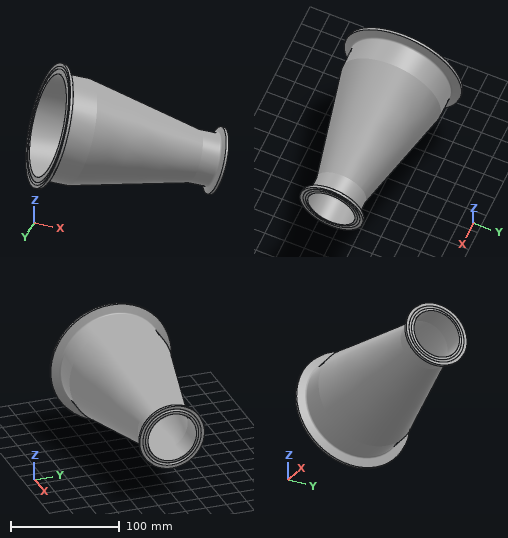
import cadquery as cq
import math

total_length = 167.0
large_wall = 2.0
large_bore = 97.6
large_pipe = large_bore + 2 * large_wall
large_flange = 119.0
small_pipe = 50.8
small_wall = 1.5
small_bore = small_pipe - 2 * small_wall
small_flange = 64.0

large_straight = 30.0
small_straight = 23.0

rim_thickness = 2.85
back_angle = 20.0
neck_fillet = 2.0
groove_inset = 4.5
groove_width = 4.1
groove_floor_width = 2.5
groove_edge_depth = 0.4
groove_depth = 1.5


def revolve_about_x(sketch):
    """Full turn of a closed half profile about the part axis."""
    return sketch.revolve(360, (0, 0, 0), (1, 0, 0))


def reducer_shell():
    """Straight large end, cone and straight small end as a thin tube."""
    cone_start = large_straight
    cone_end = total_length - small_straight
    return revolve_about_x(
        cq.Workplane("XZ")
        .moveTo(0, large_bore / 2)
        .lineTo(0, large_pipe / 2)
        .lineTo(cone_start, large_pipe / 2)
        .lineTo(cone_end, small_pipe / 2)
        .lineTo(total_length, small_pipe / 2)
        .lineTo(total_length, small_bore / 2)
        .lineTo(cone_end, small_bore / 2)
        .lineTo(cone_start, large_bore / 2)
        .close()
    )


def flange_ring(flange_diameter, pipe_diameter, bore_diameter):
    """Clamp flange with its face at X = 0 and its sloping back toward +X."""
    rim_radius = flange_diameter / 2
    pipe_radius = pipe_diameter / 2
    slope = math.radians(back_angle)

    slope_foot = rim_thickness + (rim_radius - pipe_radius) * math.tan(slope)
    setback = neck_fillet * math.tan((math.pi / 2 - slope) / 2)
    fillet_start = (slope_foot - setback * math.sin(slope), pipe_radius + setback * math.cos(slope))
    fillet_end = (slope_foot + setback, pipe_radius)

    return revolve_about_x(
        cq.Workplane("XZ")
        .moveTo(0, bore_diameter / 2)
        .lineTo(0, rim_radius)
        .lineTo(rim_thickness, rim_radius)
        .lineTo(*fillet_start)
        .tangentArcPoint(fillet_end, relative=False)
        .lineTo(fillet_end[0], bore_diameter / 2)
        .close()
    )


def gasket_groove(flange_diameter):
    """Cutter for the round hollow, with rounded edges, in a flange face at X = 0."""
    centre_radius = flange_diameter / 2 - groove_inset
    mouth = groove_width / 2
    floor = groove_floor_width / 2
    edge_run = mouth - floor
    edge_radius = (edge_run**2 + groove_edge_depth**2) / (2 * groove_edge_depth)
    return revolve_about_x(
        cq.Workplane("XZ")
        .moveTo(0, centre_radius - mouth)
        .radiusArc((groove_edge_depth, centre_radius - floor), edge_radius)
        .threePointArc((groove_depth, centre_radius), (groove_edge_depth, centre_radius + floor))
        .radiusArc((0, centre_radius + mouth), edge_radius)
        .close()
    )


def at_small_end(body):
    """Turn a body built at X = 0 around so that it sits on the small end face."""
    return body.mirror("YZ").translate((total_length, 0, 0))


result = (
    reducer_shell()
    .union(flange_ring(large_flange, large_pipe, large_bore))
    .union(at_small_end(flange_ring(small_flange, small_pipe, small_bore)))
    .cut(gasket_groove(large_flange))
    .cut(at_small_end(gasket_groove(small_flange)))
)